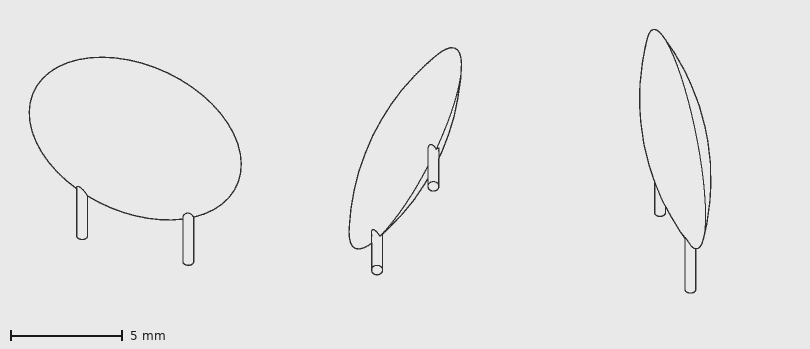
import cadquery as cq

total_height = 12.1
disc_diameter = 10.0
disc_thickness = 2.5
lead_diameter = 0.5
lead_spacing = 5.0
lead_top_depth = 2.42

disc_radius = disc_diameter / 2
half_thickness = disc_thickness / 2
lead_bottom = disc_radius - total_height
lead_length = -lead_top_depth - lead_bottom


def make_disc():
    """Biconvex disc with a sharp rim: the overlap of two equal spheres spaced along Y."""
    sphere_radius = (disc_radius**2 + half_thickness**2) / (2 * half_thickness)
    sphere_offset = sphere_radius - half_thickness
    sphere = cq.Workplane("XY").sphere(sphere_radius)
    front_face_sphere = sphere.translate((0, sphere_offset, 0))
    back_face_sphere = sphere.translate((0, -sphere_offset, 0))
    return front_face_sphere.intersect(back_face_sphere)


def make_leads():
    """Two straight round leads hanging below the disc."""
    return (
        cq.Workplane("XY", origin=(0, 0, lead_bottom))
        .pushPoints([(-lead_spacing / 2, 0), (lead_spacing / 2, 0)])
        .circle(lead_diameter / 2)
        .extrude(lead_length)
    )


result = make_disc().union(make_leads())